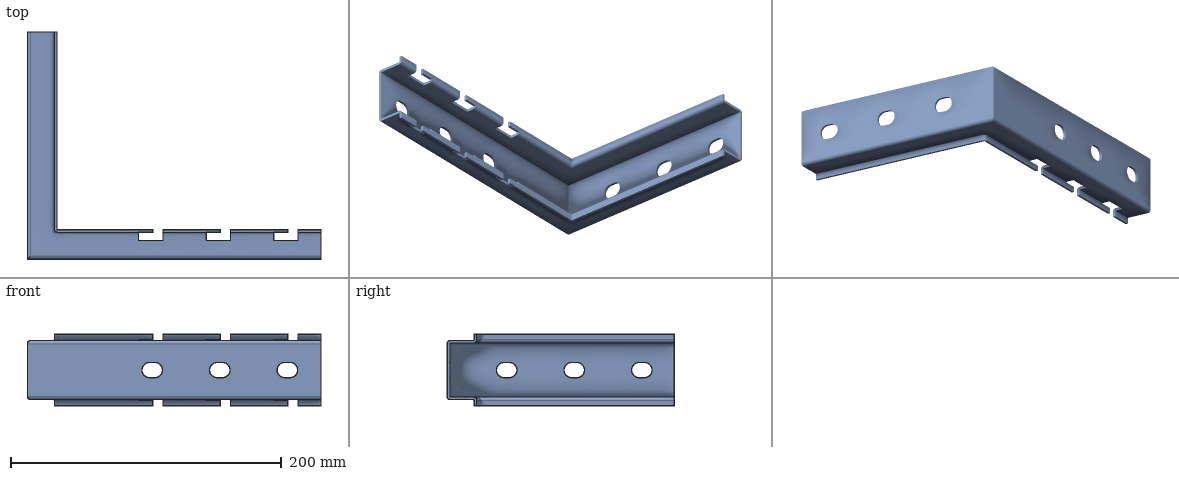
import cadquery as cq
import math

long_leg = 217.0
short_leg = 168.0
overall_height = 53.0

body_height = 43.8
leg_width = 22.0
sheet = 2.0
bend_inner_radius = 0.5
bend_outer_radius = bend_inner_radius + sheet
lip_corner_radius = 2.5

slot_pitch = 50.0
slot_count = 3
slot_length = 15.0
slot_height = 11.0
long_leg_slot_margin = 25.0
short_leg_slot_margin = 24.0

notch_length = 17.8
notch_depth = 8.0
lip_gap = 7.4
last_notch_margin = 17.1

half_body = body_height / 2
half_overall = overall_height / 2
lip_face = leg_width - sheet
bend_start = leg_width - bend_outer_radius


def arc_point(center_across, center_z, radius, angle):
    """Point on a bend, at an angle in degrees from the across-leg direction."""
    turn = math.radians(angle)
    return center_across + radius * math.cos(turn), center_z + radius * math.sin(turn)


def half_section(plane):
    """Upper half of the section: back wall, flange and upturned lip."""
    wall_bend_z = half_body - bend_outer_radius
    lip_bend_z = half_body + bend_inner_radius
    return (
        cq.Workplane(plane)
        .moveTo(0, 0)
        .lineTo(0, wall_bend_z)
        .threePointArc(
            arc_point(bend_outer_radius, wall_bend_z, bend_outer_radius, 135),
            (bend_outer_radius, half_body),
        )
        .lineTo(bend_start, half_body)
        .threePointArc(
            arc_point(bend_start, lip_bend_z, bend_inner_radius, -45),
            (lip_face, lip_bend_z),
        )
        .lineTo(lip_face, half_overall)
        .lineTo(leg_width, half_overall)
        .lineTo(leg_width, lip_bend_z)
        .threePointArc(
            arc_point(bend_start, lip_bend_z, bend_outer_radius, -45),
            (bend_start, half_body - sheet),
        )
        .lineTo(bend_outer_radius, half_body - sheet)
        .threePointArc(
            arc_point(bend_outer_radius, wall_bend_z, bend_inner_radius, 135),
            (sheet, wall_bend_z),
        )
        .lineTo(sheet, 0)
        .close()
    )


def mitred_half_leg(section_plane, extrusion, free_end):
    """Upper half of one leg, cut at 45 degrees where it meets the other leg.

    free_end holds the outer and inner corners of the leg's free end in plan.
    """
    outer_end, inner_end = free_end
    mitre_wedge = (
        cq.Workplane("XY")
        .polyline([(0, 0), (leg_width, leg_width), inner_end, outer_end])
        .close()
        .extrude(overall_height)
    )
    return half_section(section_plane).extrude(extrusion).intersect(mitre_wedge)


def mitred_channel():
    """Both legs joined at the mitre, with rounded corners where the lips meet."""
    long_section = cq.Plane(origin=(0, 0, 0), xDir=(0, 1, 0), normal=(1, 0, 0))
    short_section = cq.Plane(origin=(0, 0, 0), xDir=(1, 0, 0), normal=(0, -1, 0))
    long_half = mitred_half_leg(long_section, long_leg, [(long_leg, 0), (long_leg, leg_width)])
    short_half = mitred_half_leg(short_section, -short_leg, [(0, short_leg), (leg_width, short_leg)])
    lip_middle_z = (half_body + half_overall) / 2
    lip_corner = cq.selectors.NearestToPointSelector((lip_face, lip_face, lip_middle_z))
    upper = long_half.union(short_half).edges("|Z").edges(lip_corner).fillet(lip_corner_radius)
    return upper.union(upper.mirror("XY"))


def slot_cutters(plane, first_center):
    """Row of slots along a back wall."""
    centers = [(first_center + index * slot_pitch, 0) for index in range(slot_count)]
    return (
        cq.Workplane(plane)
        .pushPoints(centers)
        .slot2D(slot_length, slot_height)
        .extrude(leg_width)
    )


def notch_cutter(right, length, height):
    """Block reaching in from the open side, centred on mid-height."""
    return (
        cq.Workplane("XY")
        .box(length, notch_depth, height, centered=(False, False, True))
        .translate((right - length, leg_width - notch_depth, 0))
    )


def hook_notch(right):
    """Notch through both flanges and bends, with a narrower gap through the lips."""
    pocket_height = 2 * (half_body + bend_inner_radius)
    pocket = notch_cutter(right, notch_length, pocket_height)
    gap = notch_cutter(right, lip_gap, overall_height)
    return pocket.union(gap)


long_wall = cq.Plane(origin=(0, 0, 0), xDir=(1, 0, 0), normal=(0, 1, 0))
short_wall = cq.Plane(origin=(0, 0, 0), xDir=(0, 1, 0), normal=(1, 0, 0))
slot_span = (slot_count - 1) * slot_pitch

result = mitred_channel()
result = result.cut(slot_cutters(long_wall, long_leg - long_leg_slot_margin - slot_span))
result = result.cut(slot_cutters(short_wall, short_leg - short_leg_slot_margin - slot_span))

for index in range(slot_count):
    notch_right = long_leg - last_notch_margin - index * slot_pitch
    result = result.cut(hook_notch(notch_right))